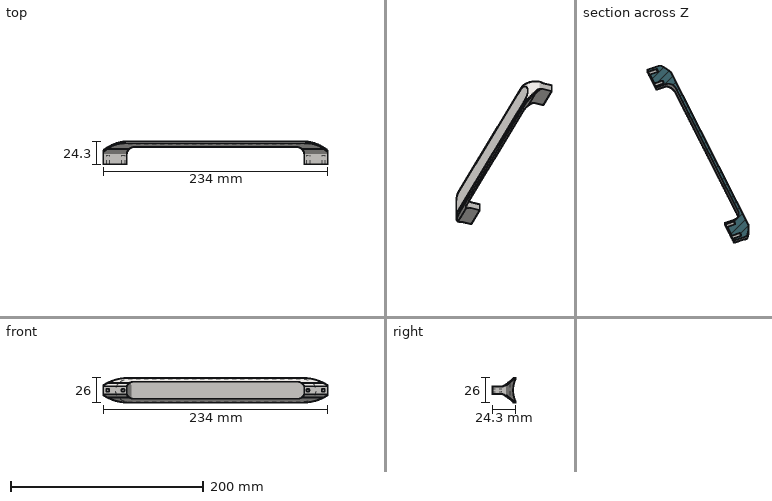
import cadquery as cq

length = 234.0
depth = 24.3
height = 26.0

leg_width = 24.8
bar_bottom_y = 18.0
inner_radius = 7.7
end_height = 14.5
arch_length = 25.3
arch_mid_x = 11.0
arch_mid_y = 21.0
end_corner_radius = 3.5
selection_margin = 1.2

leg_half_height = 4.0
neck_start_y = 9.1
neck_end_y = 12.6
neck_end_half_height = 5.1
neck_mid_y = 11.0
neck_mid_half_height = 4.2
neck_edge_y = 16.0
neck_edge_half_height = 7.3
wing_root_y = 16.1
wing_root_half_height = 7.7
wing_mid_y = 19.2
wing_mid_half_height = 9.8
hollow_depth = 2.5
tip_thickness = 2.0
back_rim = 1.2

end_half_height = 5.0
taper_length = 25.7
taper_mid_x = 10.0
taper_mid_half_height = 10.0

hole_diameter = 3.3
hole_depth = 9.4
hole_edge_distance = 5.0
hole_spacing = 16.0

half_length = length / 2
half_height = height / 2


def plan_body():
    """Bridge outline with arched shoulders, extruded through the full height."""
    inner_x = half_length - leg_width
    arc_start_y = bar_bottom_y - inner_radius
    bar_end_x = inner_x - inner_radius
    outline = (
        cq.Workplane("XY")
        .workplane(offset=-half_height)
        .moveTo(-half_length, 0)
        .lineTo(-half_length, end_height)
        .threePointArc((arch_mid_x - half_length, arch_mid_y), (arch_length - half_length, depth))
        .lineTo(half_length - arch_length, depth)
        .threePointArc((half_length - arch_mid_x, arch_mid_y), (half_length, end_height))
        .lineTo(half_length, 0)
        .lineTo(inner_x, 0)
        .lineTo(inner_x, arc_start_y)
        .radiusArc((bar_end_x, bar_bottom_y), -inner_radius)
        .lineTo(-bar_end_x, bar_bottom_y)
        .radiusArc((-inner_x, arc_start_y), -inner_radius)
        .lineTo(-inner_x, 0)
        .close()
    )
    body = outline.extrude(height)
    end_corners = cq.selectors.BoxSelector(
        (-length, end_height - selection_margin, -height),
        (length, end_height + selection_margin, height),
    )
    return body.edges("|Z").edges(end_corners).fillet(end_corner_radius)


def section_body():
    """Y-shaped section with a hollow back, extruded along the full length."""
    tip_y = depth - tip_thickness
    hollow_half_height = half_height - back_rim
    section = (
        cq.Workplane("YZ")
        .workplane(offset=-half_length)
        .moveTo(0, -leg_half_height)
        .lineTo(neck_start_y, -leg_half_height)
        .threePointArc((neck_mid_y, -neck_mid_half_height), (neck_end_y, -neck_end_half_height))
        .lineTo(neck_edge_y, -neck_edge_half_height)
        .lineTo(wing_root_y, -wing_root_half_height)
        .threePointArc((wing_mid_y, -wing_mid_half_height), (tip_y, -half_height))
        .lineTo(depth, -half_height)
        .lineTo(depth, -hollow_half_height)
        .threePointArc((depth - hollow_depth, 0), (depth, hollow_half_height))
        .lineTo(depth, half_height)
        .lineTo(tip_y, half_height)
        .threePointArc((wing_mid_y, wing_mid_half_height), (wing_root_y, wing_root_half_height))
        .lineTo(neck_edge_y, neck_edge_half_height)
        .lineTo(neck_end_y, neck_end_half_height)
        .threePointArc((neck_mid_y, neck_mid_half_height), (neck_start_y, leg_half_height))
        .lineTo(0, leg_half_height)
        .close()
    )
    return section.extrude(length)


def elevation_body():
    """Long outline with ends that narrow along arcs, extruded through the full depth."""
    taper_start_x = half_length - taper_length
    mid_x = half_length - taper_mid_x
    outline = (
        cq.Workplane("XZ")
        .moveTo(-half_length, -end_half_height)
        .threePointArc((-mid_x, -taper_mid_half_height), (-taper_start_x, -half_height))
        .lineTo(taper_start_x, -half_height)
        .threePointArc((mid_x, -taper_mid_half_height), (half_length, -end_half_height))
        .lineTo(half_length, end_half_height)
        .threePointArc((mid_x, taper_mid_half_height), (taper_start_x, half_height))
        .lineTo(-taper_start_x, half_height)
        .threePointArc((-mid_x, taper_mid_half_height), (-half_length, end_half_height))
        .close()
    )
    return outline.extrude(-depth)


def screw_holes():
    """Two blind holes rising from the face of each foot."""
    first_x = half_length - hole_edge_distance
    second_x = first_x - hole_spacing
    centres = [(side * x, 0) for side in (-1, 1) for x in (first_x, second_x)]
    return (
        cq.Workplane("XZ")
        .pushPoints(centres)
        .circle(hole_diameter / 2)
        .extrude(-hole_depth)
    )


handle = plan_body().intersect(section_body()).intersect(elevation_body())
result = handle.cut(screw_holes())